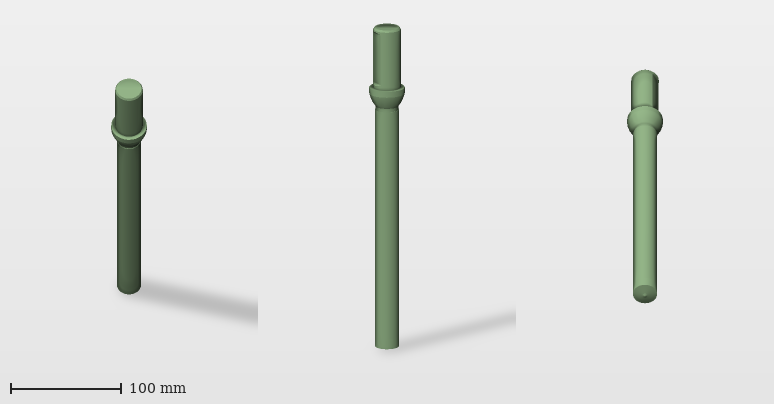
import cadquery as cq
import math

total_length = 303.0

tip_diameter = 21.8
tip_joint_z = 13.0
tip_shoulder_z = 3.3
point_base_diameter = 4.8
point_height = 1.2

rod_diameter = 21.8
rod_top_z = 225.7
neck_diameter = 20.5

collar_diameter = 32.0
collar_top_z = 246.5
collar_bottom_z = 241.2
underside_bottom_z = 229.0
underside_bulge = 1.0

shank_diameter = 24.8
chamfer_height = 1.8
chamfer_width = 1.2
flat_offset = 10.5
flat_bottom_z = 251.5
flat_top_z = 298.2


def make_tip():
    """Short cylinder ending in a shallow cone with a small steep point."""
    return (
        cq.Workplane("XZ")
        .moveTo(0, 0)
        .lineTo(point_base_diameter / 2, point_height)
        .lineTo(tip_diameter / 2, tip_shoulder_z)
        .lineTo(tip_diameter / 2, tip_joint_z)
        .lineTo(0, tip_joint_z)
        .close()
        .revolve(360, (0, 0, 0), (0, 1, 0))
    )


def make_turned_shaft():
    """Rod, neck, collar and shank as one turned profile."""
    neck_radius = neck_diameter / 2
    collar_radius = collar_diameter / 2
    shank_radius = shank_diameter / 2

    arc_width = collar_radius - neck_radius
    arc_height = collar_bottom_z - underside_bottom_z
    chord = math.hypot(arc_width, arc_height)
    arc_middle_r = (collar_radius + neck_radius) / 2 + underside_bulge * arc_height / chord
    arc_middle_z = (collar_bottom_z + underside_bottom_z) / 2 - underside_bulge * arc_width / chord

    return (
        cq.Workplane("XZ")
        .moveTo(0, tip_joint_z)
        .lineTo(rod_diameter / 2, tip_joint_z)
        .lineTo(rod_diameter / 2, rod_top_z)
        .lineTo(neck_radius, rod_top_z)
        .lineTo(neck_radius, underside_bottom_z)
        .threePointArc((arc_middle_r, arc_middle_z), (collar_radius, collar_bottom_z))
        .lineTo(collar_radius, collar_top_z)
        .lineTo(shank_radius, collar_top_z)
        .lineTo(shank_radius, total_length - chamfer_height)
        .lineTo(shank_radius - chamfer_width, total_length)
        .lineTo(0, total_length)
        .close()
        .revolve(360, (0, 0, 0), (0, 1, 0))
    )


def make_flat_cutter():
    """Prism that cuts the flat, with ends sloping outward at 45 degrees."""
    flat_depth = shank_diameter / 2 - flat_offset
    return (
        cq.Workplane("YZ")
        .moveTo(flat_offset, flat_bottom_z)
        .lineTo(flat_offset + flat_depth, flat_bottom_z - flat_depth)
        .lineTo(flat_offset + flat_depth, flat_top_z + flat_depth)
        .lineTo(flat_offset, flat_top_z)
        .close()
        .extrude(shank_diameter / 2, both=True)
    )


tip = make_tip()
shaft = make_turned_shaft().cut(make_flat_cutter())

result = cq.Compound.makeCompound([shaft.val(), tip.val()])